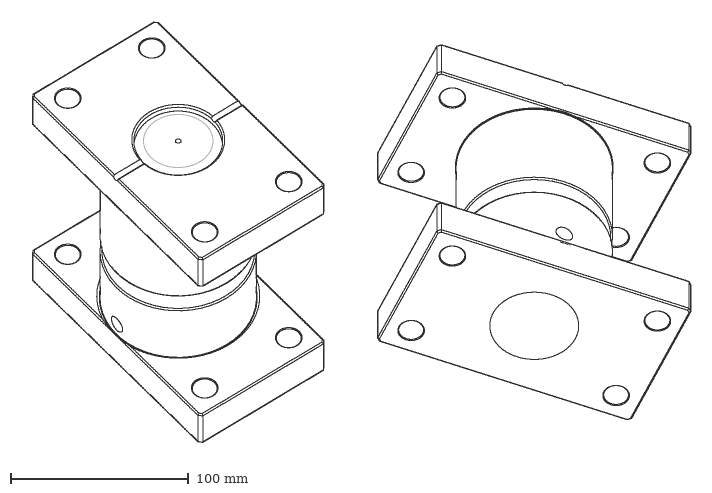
import cadquery as cq

total_height = 160.9
plate_length = 155.0
plate_width = 90.0
plate_thickness = 25.0
plate_edge_chamfer = 1.0
plate_corner_chamfer = 2.0

boss_diameter = 88.0
boss_radius = boss_diameter / 2
boss_edge_chamfer = 1.0
lower_block_height = 65.0
block_gap = 11.0
upper_block_height = total_height - lower_block_height - block_gap

foot_radius = 44.4
groove_depth = 1.5
collar_height = 0.6

mounting_hole_diameter = 14.0
mounting_hole_radius = mounting_hole_diameter / 2
mounting_hole_chamfer = 0.5
mounting_pitch_x = 125.0
mounting_pitch_y = 60.0

screw_hole_diameter = 10.1
screw_hole_rise = 7.4
screw_hole_height = plate_thickness + screw_hole_rise

post_diameter = 50.0
post_radius = post_diameter / 2
post_top_recess = 1.0
post_height = total_height - post_top_recess
post_top_fillet = 5.5
bore_chamfer = 1.1
center_hole_diameter = 3.0
center_hole_depth = 4.8

vent_groove_radius = 2.0


def make_cylinder(radius, bottom, top):
    """Upright cylinder on the Z axis between two heights."""
    return cq.Workplane("XY", origin=(0, 0, bottom)).circle(radius).extrude(top - bottom)


def make_cone(bottom_radius, bottom, top_radius, top):
    """Upright truncated cone on the Z axis between two heights."""
    return (
        cq.Workplane("XZ")
        .moveTo(0, bottom)
        .lineTo(bottom_radius, bottom)
        .lineTo(top_radius, top)
        .lineTo(0, top)
        .close()
        .revolve()
    )


def make_plate():
    """Plate resting on Z = 0 with chamfered corners, edges and mounting holes."""
    plate = (
        cq.Workplane("XY")
        .rect(plate_length, plate_width)
        .extrude(plate_thickness)
        .edges("|Z").chamfer(plate_corner_chamfer)
        .faces("<Z or >Z").chamfer(plate_edge_chamfer)
    )
    wide_radius = mounting_hole_radius + mounting_hole_chamfer
    hole = (
        make_cylinder(mounting_hole_radius, 0, plate_thickness)
        .union(make_cone(wide_radius, 0, mounting_hole_radius, mounting_hole_chamfer))
        .union(make_cone(
            mounting_hole_radius, plate_thickness - mounting_hole_chamfer, wide_radius, plate_thickness
        ))
    )
    for hole_x in (-mounting_pitch_x / 2, mounting_pitch_x / 2):
        for hole_y in (-mounting_pitch_y / 2, mounting_pitch_y / 2):
            plate = plate.cut(hole.translate((hole_x, hole_y, 0)))
    return plate


def make_flanged_block(height):
    """Plate resting on Z = 0 with a bored boss rising to the given height."""
    boss = make_cylinder(boss_radius, plate_thickness / 2, height).faces(">Z").chamfer(boss_edge_chamfer)
    bore = make_cylinder(post_radius, 0, height)
    return make_plate().union(boss).cut(bore)


def make_lower_block():
    """Lower block with a groove around its boss and a set screw hole in the boss front wall."""
    groove_bottom = plate_thickness - groove_depth
    groove = make_cone(
        foot_radius, groove_bottom, foot_radius + groove_depth, plate_thickness
    ).cut(make_cylinder(boss_radius, groove_bottom, plate_thickness))
    screw_hole = (
        cq.Workplane("XZ", origin=(0, 0, screw_hole_height))
        .circle(screw_hole_diameter / 2)
        .extrude(plate_width)
    )
    return make_flanged_block(lower_block_height).cut(groove).cut(screw_hole)


def make_upper_block():
    """Inverted block with a collar at the boss foot, a chamfered bore rim and a vent groove."""
    bore_rim = make_cone(
        post_radius, total_height - bore_chamfer, post_radius + bore_chamfer, total_height
    )
    vent_groove = (
        cq.Workplane("XZ", origin=(0, plate_width, total_height))
        .circle(vent_groove_radius)
        .extrude(2 * plate_width)
    )
    collar = make_cylinder(foot_radius, plate_thickness / 2, plate_thickness + collar_height).cut(
        make_cylinder(boss_radius, plate_thickness / 2, plate_thickness + collar_height)
    )
    block = (
        make_flanged_block(upper_block_height)
        .union(collar)
        .rotate((0, 0, 0), (1, 0, 0), 180)
        .translate((0, 0, total_height))
    )
    return block.cut(vent_groove).cut(bore_rim)


def make_post():
    """Guide post with a rounded top edge and a small center hole."""
    return (
        make_cylinder(post_radius, 0, post_height)
        .faces(">Z").edges().fillet(post_top_fillet)
        .faces(">Z").workplane()
        .hole(center_hole_diameter, center_hole_depth)
    )


lower_block = make_lower_block()
upper_block = make_upper_block()
post = make_post()

result = cq.Compound.makeCompound([
    lower_block.solids().val(),
    upper_block.solids().val(),
    post.solids().val(),
])